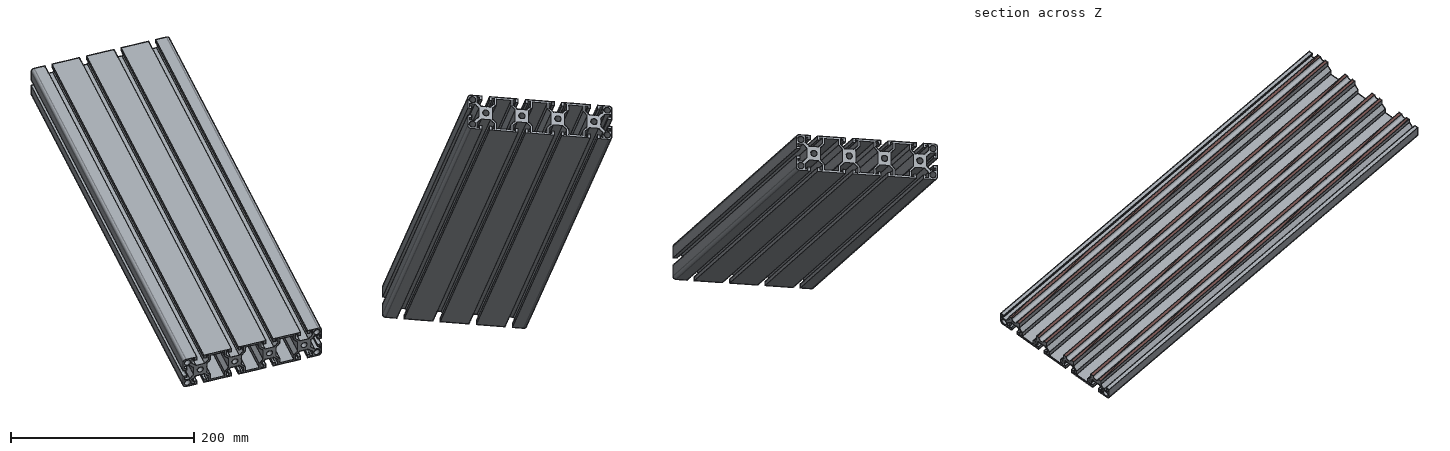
import cadquery as cq

LENGTH = 500.0
PITCH = 40.0
CELLS = 4
HEIGHT = PITCH
WIDTH = CELLS * PITCH
CORNER_RADIUS = 3.5

SLOT_HALF_OPENING = 4.1
LIP_WIDTH = 2.75
LIP_DEPTH = 4.5
FLANGE_THICKNESS = 1.9
SLOT_CHAMBER_WIDTH = 19.5
SLOT_WALL_HEIGHT = 3.25
SLOT_SLOPE_HEIGHT = 4.5
SLOT_FLOOR_WIDTH = 10.0

HOLLOW_WIDTH = 16.0
ROOF_THICKNESS = 2.5
CORE_WIDTH = 15.0
HOLLOW_WAIST_HEIGHT = 13.0
HOLLOW_SHOULDER_HEIGHT = 23.0

CORE_HOLE_RADIUS = 3.4
CORNER_HOLE_RADIUS = 3.5
CORNER_HOLE_WALL = 1.75

core_centres = [(i - (CELLS - 1) / 2) * PITCH for i in range(CELLS)]
hollow_centres = [y + PITCH / 2 for y in core_centres[:-1]]


def mirrored(half_outline):
    """Close a half outline by adding its mirror image about the vertical axis."""
    return half_outline + [(-across, up) for across, up in reversed(half_outline)]


def prism(outline):
    """Extrude a closed Y-Z outline over the whole length."""
    return cq.Workplane("YZ").polyline(outline).close().extrude(LENGTH)


def top_slot():
    """T-slot cutter opening upward, centred on a core."""
    face = HEIGHT / 2
    opening = SLOT_HALF_OPENING
    lip_back = opening + LIP_WIDTH
    chamber = SLOT_CHAMBER_WIDTH / 2
    floor = SLOT_FLOOR_WIDTH / 2
    slope_top = face - LIP_DEPTH - SLOT_WALL_HEIGHT
    return prism(mirrored([
        (opening, face),
        (opening, face - LIP_DEPTH),
        (lip_back, face - LIP_DEPTH),
        (lip_back, face - FLANGE_THICKNESS),
        (chamber, face - FLANGE_THICKNESS),
        (chamber, slope_top),
        (floor, slope_top - SLOT_SLOPE_HEIGHT),
    ]))


def hollow():
    """Eight-sided hollow that reaches between two neighbouring cores."""
    side = HOLLOW_WIDTH / 2
    waist = (PITCH - CORE_WIDTH) / 2
    waist_top = HOLLOW_WAIST_HEIGHT / 2
    shoulder = HOLLOW_SHOULDER_HEIGHT / 2
    roof = HEIGHT / 2 - ROOF_THICKNESS
    upper = [(side, roof), (side, shoulder), (waist, waist_top)]
    lower = [(y, -z) for y, z in reversed(upper)]
    return prism(mirrored(upper + lower))


def round_holes(centres, radius):
    """Round holes along the whole length."""
    return cq.Workplane("YZ").pushPoints(centres).circle(radius).extrude(LENGTH)


result = cq.Workplane("YZ").rect(WIDTH, HEIGHT).extrude(LENGTH).edges("|X").fillet(CORNER_RADIUS)

slot = top_slot()
for y in core_centres:
    for turn in (0, 180):
        result = result.cut(slot.rotate((0, 0, 0), (1, 0, 0), turn).translate((0, y, 0)))
for y, turn in ((core_centres[0], 90), (core_centres[-1], -90)):
    result = result.cut(slot.rotate((0, 0, 0), (1, 0, 0), turn).translate((0, y, 0)))

cavity = hollow()
for y in hollow_centres:
    result = result.cut(cavity.translate((0, y, 0)))

corner_y = WIDTH / 2 - CORNER_HOLE_WALL - CORNER_HOLE_RADIUS
corner_z = HEIGHT / 2 - CORNER_HOLE_WALL - CORNER_HOLE_RADIUS
corners = [(y, z) for y in (-corner_y, corner_y) for z in (-corner_z, corner_z)]
result = result.cut(round_holes([(y, 0) for y in core_centres], CORE_HOLE_RADIUS))
result = result.cut(round_holes(corners, CORNER_HOLE_RADIUS))